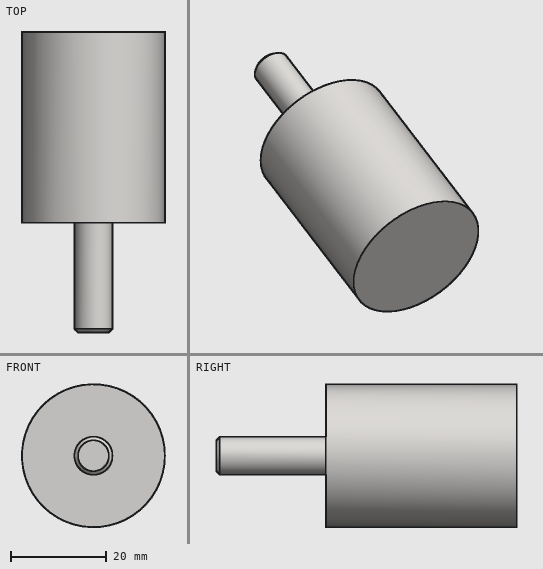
import cadquery as cq

body_diameter = 30.0
body_length = 40.0
stud_diameter = 8.0
stud_length = 23.0
tip_diameter = 6.466
tip_chamfer = (stud_diameter - tip_diameter) / 2


def make_body():
    """Plain cylinder running from the stud face at Y = 0 toward +Y."""
    return cq.Workplane("XZ").circle(body_diameter / 2).extrude(-body_length)


def make_stud():
    """Pin running from the body face toward -Y, with a chamfered tip."""
    stud = cq.Workplane("XZ").circle(stud_diameter / 2).extrude(stud_length)
    return stud.faces("<Y").chamfer(tip_chamfer)


result = make_body().union(make_stud())